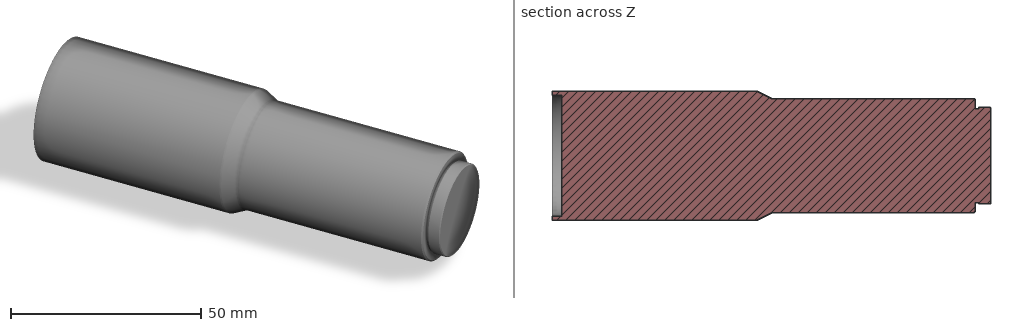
import cadquery as cq

total_length = 115.3
barrel_length = 53.9
taper_length = 4.0
body_end = 111.3
neck_length = 0.7

barrel_radius = 17.0
body_radius = 15.0
neck_radius = 12.45
collar_radius = 12.75

taper_blend_radius = 1.0
body_chamfer = 0.4
collar_chamfer = 0.25
rim_chamfer = 0.2

rim_width = 1.2
recess_depth = 2.5

open_end_x = -total_length / 2
taper_end = barrel_length + taper_length


def cylinder(start, length, radius):
    """Cylinder along +X, starting at a distance from the open end."""
    plane = cq.Workplane("YZ", origin=(open_end_x + start, 0, 0))
    return plane.circle(radius).extrude(length)


def make_taper():
    """Cone that narrows from the barrel radius to the body radius."""
    profile = (
        cq.Workplane("XY", origin=(open_end_x + barrel_length, 0, 0))
        .lineTo(0, barrel_radius)
        .lineTo(taper_length, body_radius)
        .lineTo(taper_length, 0)
        .close()
    )
    return profile.revolve(360, (0, 0, 0), (1, 0, 0))


def make_housing():
    """Barrel, taper and body, with the taper blended into both cylinders."""
    barrel = cylinder(0, barrel_length, barrel_radius)
    body = cylinder(taper_end, body_end - taper_end, body_radius)
    housing = barrel.union(make_taper()).union(body)
    taper_edges = housing.faces("%CONE").edges("%CIRCLE")
    housing = taper_edges.fillet(taper_blend_radius)
    return housing.faces(">X").edges().chamfer(body_chamfer)


def cut_recess(part):
    """Sink the recess into the open end and break both edges of its rim."""
    recess = cylinder(0, recess_depth, barrel_radius - rim_width)
    return part.cut(recess).faces("<X").edges().chamfer(rim_chamfer)


def make_collar():
    """End collar with a chamfered outer edge."""
    start = body_end + neck_length
    collar = cylinder(start, total_length - start, collar_radius)
    return collar.faces(">X").edges().chamfer(collar_chamfer)


neck = cylinder(body_end, neck_length, neck_radius)

result = cut_recess(make_housing()).union(neck).union(make_collar())